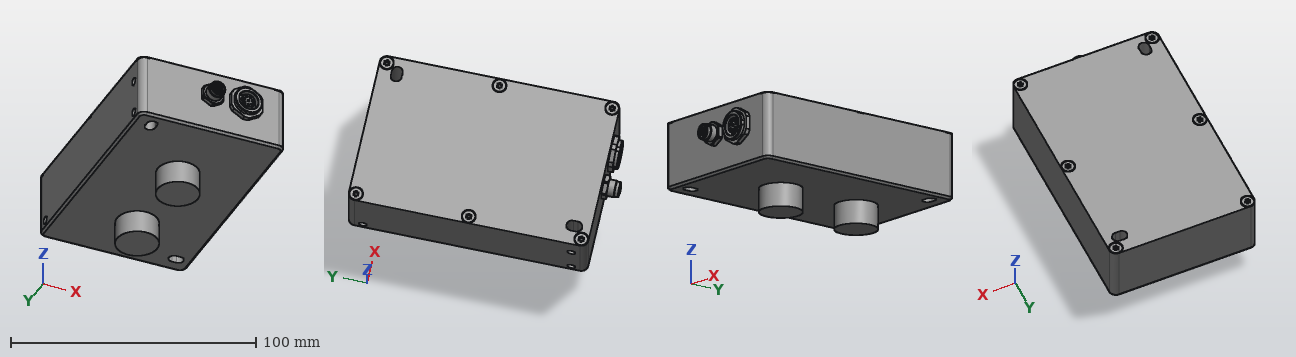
import cadquery as cq
import math

BOX_X = 65.0
BOX_Y = 100.0
BOX_Z = 28.0
CORNER_RADIUS = 3.0
BOTTOM_CHAMFER = 1.0
FRONT_Y = -BOX_Y / 2

FOOT_DIAMETER = 18.0
FOOT_HEIGHT = 10.0
FOOT_CENTRES_Y = (24.5, -15.5)

SCREW_X = BOX_X / 2 - CORNER_RADIUS
SCREW_Y = BOX_Y / 2 - CORNER_RADIUS
SCREW_CENTRES = [(x, y) for x in (-SCREW_X, SCREW_X) for y in (-SCREW_Y, 0, SCREW_Y)]
SCREW_SEAT_DIAMETER = 5.8
SCREW_HEAD_DIAMETER = 5.3
SCREW_GAP_DEPTH = 0.2
DRIVE_CORE_DIAMETER = 1.6
DRIVE_LOBE_DIAMETER = 0.6
DRIVE_OUTER_DIAMETER = 2.5
DRIVE_LOBES = 6
DRIVE_DEPTH = 1.0
DRIVE_TIP_DEPTH = 0.5

SLOT_LENGTH = 6.5
SLOT_WIDTH = 4.5
BACK_SLOT = (25.5, 42.0, 0)
FRONT_SLOT = (-24.5, -43.0, 90)
SLOTS = [BACK_SLOT, FRONT_SLOT]

SIDE_HOLE_DIAMETER = 3.24
SIDE_HOLE_DEPTH = BOX_X / 2 + FRONT_SLOT[0]
SIDE_HOLE_Y = 43.5
SIDE_HOLE_LOW_Z = 4.0
SIDE_HOLE_HIGH_Z = 19.0
SIDE_HOLES = [
    (SIDE_HOLE_Y, SIDE_HOLE_LOW_Z),
    (-SIDE_HOLE_Y, SIDE_HOLE_LOW_Z),
    (-SIDE_HOLE_Y, SIDE_HOLE_HIGH_Z),
]

CONNECTOR_Z = 16.8
NUT_THICKNESS = 2.0
CONTACT_DIAMETER = 1.0
CONTACT_DEPTH = 1.0
CONTACT_PIN_DIAMETER = 0.5
CONTACT_PIN_RECESS = 0.2

SMALL_X = -0.5
SMALL_NUT_FLATS = 9.0
SMALL_NUT_CORNERS = 10.0
SMALL_NUT_CHAMFER_WIDTH = 0.5
SMALL_NUT_CHAMFER_HEIGHT = 0.3
SMALL_THREAD_DIAMETER = 7.0
SMALL_THREAD_END = 5.1
SMALL_THREAD_CHAMFER = 0.25
SMALL_NOSE_DIAMETER = 6.4
SMALL_NOSE_END = 6.7
SMALL_NOSE_CHAMFER = 0.2
SMALL_LENGTH = 7.0
SMALL_BORE_DIAMETER = 5.0
SMALL_BORE_DEPTH = 2.0
SMALL_INSERT_DIAMETER = 3.24
SMALL_CONTACTS = 4
SMALL_CONTACT_CIRCLE = 2.01

LARGE_X = SMALL_X + 15.0
LARGE_NUT_FLATS = 14.0
LARGE_NUT_CORNERS = 15.0
LARGE_COLLAR_DIAMETER = 12.0
LARGE_LENGTH = 3.7
LARGE_COLLAR_CHAMFER = 0.3
LARGE_NOTCHES = 4
LARGE_NOTCH_WIDTH = 1.8
LARGE_NOTCH_DEPTH = 0.2
LARGE_BORE_DIAMETER = 8.5
LARGE_BORE_DEPTH = 3.0
LARGE_BORE_CHAMFER = 0.2
LARGE_INSERT_DIAMETER = 6.0
LARGE_INSERT_RECESS = 0.5
LARGE_OUTER_CONTACTS = 7
LARGE_CONTACT_CIRCLE = 4.2


def circle_points(count, diameter, start_angle):
    """Points spread evenly round a circle, starting at an angle in degrees."""
    angles = [math.radians(start_angle + 360 * i / count) for i in range(count)]
    return [(diameter / 2 * math.cos(a), diameter / 2 * math.sin(a)) for a in angles]


def cylinder(diameter, start, end):
    """Cylinder on the local Z axis between two heights."""
    return cq.Workplane("XY").workplane(offset=start).circle(diameter / 2).extrude(end - start)


def make_box():
    box = cq.Workplane("XY").box(BOX_X, BOX_Y, BOX_Z, centered=(True, True, False))
    return box.edges("|Z").fillet(CORNER_RADIUS).faces("<Z").chamfer(BOTTOM_CHAMFER)


def make_feet():
    centres = [(0, y) for y in FOOT_CENTRES_Y]
    return cq.Workplane("XY").pushPoints(centres).circle(FOOT_DIAMETER / 2).extrude(-FOOT_HEIGHT)


def make_screw_cut():
    """Ring gap round a flush screw head and its six-lobed drive with a conical floor, cut down from Z = 0."""
    gap = cylinder(SCREW_SEAT_DIAMETER, -SCREW_GAP_DEPTH, 0)
    gap = gap.cut(cylinder(SCREW_HEAD_DIAMETER, -SCREW_GAP_DEPTH, 0))
    lobe_circle = DRIVE_OUTER_DIAMETER - DRIVE_LOBE_DIAMETER
    lobes = (
        cq.Workplane("XY")
        .pushPoints(circle_points(DRIVE_LOBES, lobe_circle, 0))
        .circle(DRIVE_LOBE_DIAMETER / 2)
        .extrude(-DRIVE_DEPTH)
    )
    core = cylinder(DRIVE_CORE_DIAMETER, -DRIVE_DEPTH, 0)
    tip = cq.Solid.makeCone(
        DRIVE_CORE_DIAMETER / 2, 0, DRIVE_TIP_DEPTH, pnt=(0, 0, -DRIVE_DEPTH), dir=(0, 0, -1)
    )
    return gap.union(core).union(lobes).union(cq.Workplane(tip))


def cut_screws(body):
    cutter = make_screw_cut()
    for x, y in SCREW_CENTRES:
        body = body.cut(cutter.translate((x, y, BOX_Z)))
    return body


def cut_slots(body):
    for x, y, angle in SLOTS:
        slot = cq.Workplane("XY").center(x, y).slot2D(SLOT_LENGTH, SLOT_WIDTH, angle).extrude(BOX_Z)
        body = body.cut(slot)
    return body


def cut_side_holes(body):
    holes = (
        cq.Workplane("YZ", origin=(-BOX_X / 2, 0, 0))
        .pushPoints(SIDE_HOLES)
        .circle(SIDE_HOLE_DIAMETER / 2)
        .extrude(SIDE_HOLE_DEPTH)
    )
    return body.cut(holes)


def make_nut(flats, turned_corners):
    """Hexagon nut with two upright flats and its corners trimmed by a turned blank."""
    across_corners = flats / math.cos(math.pi / 6)
    hexagon = cq.Workplane("XY").polygon(6, across_corners).extrude(NUT_THICKNESS)
    return hexagon.rotate((0, 0, 0), (0, 0, 1), 30).intersect(turned_corners)


def bore_end(shell, end, diameter, depth):
    """Bores a shell from its free end, leaving a flat floor."""
    return shell.cut(cylinder(diameter, end - depth, end))


def make_insert(diameter, floor, face, contacts):
    """Contact insert standing on a bore floor, with a slim pin in each contact hole."""
    contact_floor = face - CONTACT_DEPTH
    insert = cylinder(diameter, floor, face)
    for x, y in contacts:
        hole = cylinder(CONTACT_DIAMETER, contact_floor, face)
        pin = cylinder(CONTACT_PIN_DIAMETER, contact_floor, face - CONTACT_PIN_RECESS)
        insert = insert.cut(hole.cut(pin).translate((x, y, 0)))
    return insert


def make_small_connector():
    blank = cylinder(SMALL_NUT_CORNERS, 0, NUT_THICKNESS)
    blank = blank.faces(">Z").chamfer(SMALL_NUT_CHAMFER_HEIGHT, SMALL_NUT_CHAMFER_WIDTH)
    thread = cylinder(SMALL_THREAD_DIAMETER, 0, SMALL_THREAD_END)
    thread = thread.faces(">Z").chamfer(SMALL_THREAD_CHAMFER)
    nose = cylinder(SMALL_NOSE_DIAMETER, 0, SMALL_NOSE_END).faces(">Z").chamfer(SMALL_NOSE_CHAMFER)
    shell = make_nut(SMALL_NUT_FLATS, blank).union(thread).union(nose)
    shell = bore_end(shell, SMALL_NOSE_END, SMALL_BORE_DIAMETER, SMALL_BORE_DEPTH)
    contacts = circle_points(SMALL_CONTACTS, SMALL_CONTACT_CIRCLE, 45)
    bore_floor = SMALL_NOSE_END - SMALL_BORE_DEPTH
    return shell.union(make_insert(SMALL_INSERT_DIAMETER, bore_floor, SMALL_LENGTH, contacts))


def make_large_collar():
    """Round collar with flat-bottomed notches round its rim and a chamfered bore."""
    collar = cylinder(LARGE_COLLAR_DIAMETER, 0, LARGE_LENGTH)
    collar = collar.faces(">Z").chamfer(LARGE_COLLAR_CHAMFER)
    collar = bore_end(collar, LARGE_LENGTH, LARGE_BORE_DIAMETER, LARGE_BORE_DEPTH)
    collar = collar.faces(">Z").edges(cq.selectors.RadiusNthSelector(0))
    collar = collar.chamfer(LARGE_BORE_CHAMFER)
    notch = (
        cq.Workplane("XY")
        .box(LARGE_COLLAR_DIAMETER, LARGE_NOTCH_WIDTH, LARGE_LENGTH, centered=(False, True, False))
        .translate((LARGE_COLLAR_DIAMETER / 2 - LARGE_NOTCH_DEPTH, 0, 0))
    )
    for i in range(LARGE_NOTCHES):
        collar = collar.cut(notch.rotate((0, 0, 0), (0, 0, 1), 360 * i / LARGE_NOTCHES))
    return collar


def make_large_connector():
    nut = make_nut(LARGE_NUT_FLATS, cylinder(LARGE_NUT_CORNERS, 0, NUT_THICKNESS))
    bore_floor = LARGE_LENGTH - LARGE_BORE_DEPTH
    nut = bore_end(nut, LARGE_LENGTH, LARGE_BORE_DIAMETER, LARGE_BORE_DEPTH)
    contacts = [(0, 0)] + circle_points(LARGE_OUTER_CONTACTS, LARGE_CONTACT_CIRCLE, -90)
    insert_face = LARGE_LENGTH - LARGE_INSERT_RECESS
    insert = make_insert(LARGE_INSERT_DIAMETER, bore_floor, insert_face, contacts)
    return nut.union(make_large_collar()).union(insert)


def mount_on_front(connector, x):
    """Turns a connector from local +Z to -Y and sets it on the front wall."""
    return connector.rotate((0, 0, 0), (1, 0, 0), 90).translate((x, FRONT_Y, CONNECTOR_Z))


body = make_box()
body = cut_screws(body)
body = cut_slots(body)
body = cut_side_holes(body)
body = body.union(make_feet())
body = body.union(mount_on_front(make_small_connector(), SMALL_X))
result = body.union(mount_on_front(make_large_connector(), LARGE_X))